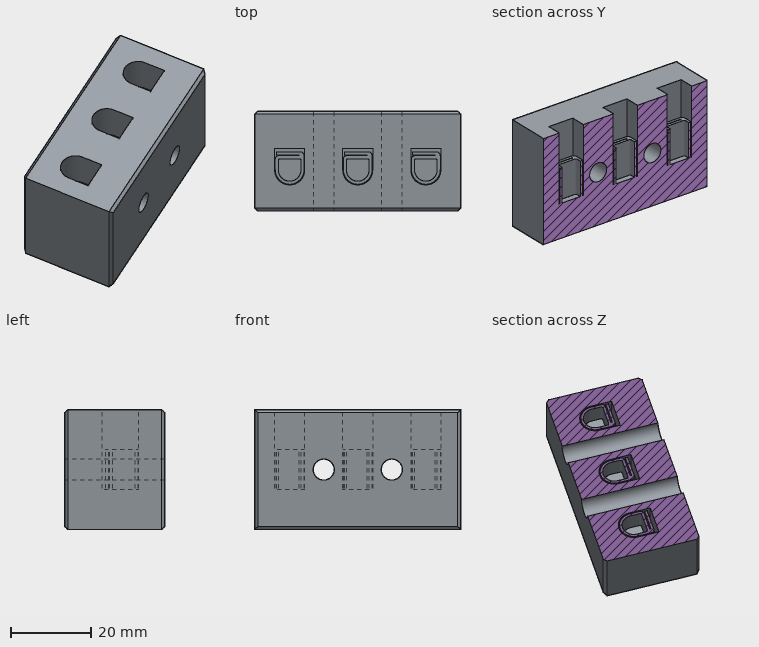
import cadquery as cq

LENGTH = 51.5
WIDTH = 25.0
HEIGHT = 30.0
EDGE_CHAMFER = 0.8

PITCH = 17.0
HOLE_DIAMETER = 5.2
HOLE_XS = (-PITCH / 2, PITCH / 2)

POCKET_XS = (-PITCH, 0.0, PITCH)
POCKET_RADIUS = 3.75
POCKET_ARC_Y = -2.2
POCKET_BACK_Y = 3.2
POCKET_DEPTH = 20.0
POCKET_FLOOR_Z = HEIGHT / 2 - POCKET_DEPTH

CAGE_HEIGHT = 10.0
CAGE_CLEARANCE = 0.15
STRIP_THICKNESS = 0.78
SLIT_WIDTH = 0.2
SLIT_END_INSET = 1.3
FLAP_END_INSET = 0.28
FLAP_CORNER_RADIUS = 1.0
WRAP_CORNER_RADIUS = 0.8
OPENING_CORNER_RADIUS = 0.4
CAGE_RADIUS = POCKET_RADIUS - CAGE_CLEARANCE
OPENING_RADIUS = CAGE_RADIUS - STRIP_THICKNESS
OPENING_BACK_Y = 0.57
WRAP_BACK_Y = OPENING_BACK_Y + STRIP_THICKNESS
SLIT_BACK_Y = WRAP_BACK_Y + SLIT_WIDTH
FLAP_BACK_Y = SLIT_BACK_Y + STRIP_THICKNESS


def d_prism(radius, back_y, height):
    """Prism on the pocket floor: flat at the back (+Y), half round at the front."""
    return (
        cq.Workplane("XY", origin=(0, 0, POCKET_FLOOR_Z))
        .moveTo(-radius, back_y)
        .lineTo(-radius, POCKET_ARC_Y)
        .threePointArc((0, POCKET_ARC_Y - radius), (radius, POCKET_ARC_Y))
        .lineTo(radius, back_y)
        .close()
        .extrude(height)
    )


def make_block():
    """Block with its front and back face outlines chamfered."""
    block = cq.Workplane("XY").box(LENGTH, WIDTH, HEIGHT)
    return block.faces("<Y or >Y").edges().chamfer(EDGE_CHAMFER)


def make_mounting_holes():
    points = [(x, 0) for x in HOLE_XS]
    centers = cq.Workplane("XZ").pushPoints(points)
    return centers.circle(HOLE_DIAMETER / 2).extrude(WIDTH, both=True)


def make_cage():
    """D-shaped strip loop whose end doubles back as a flap along the back."""
    loop_left = -CAGE_RADIUS
    flap_left = loop_left + FLAP_END_INSET
    slit_right = CAGE_RADIUS - SLIT_END_INSET
    cage = (
        cq.Workplane("XY", origin=(0, 0, POCKET_FLOOR_Z))
        .moveTo(flap_left, FLAP_BACK_Y)
        .lineTo(flap_left, SLIT_BACK_Y)
        .lineTo(slit_right, SLIT_BACK_Y)
        .lineTo(slit_right, WRAP_BACK_Y)
        .lineTo(loop_left, WRAP_BACK_Y)
        .lineTo(loop_left, POCKET_ARC_Y)
        .threePointArc((0, POCKET_ARC_Y - CAGE_RADIUS), (CAGE_RADIUS, POCKET_ARC_Y))
        .lineTo(CAGE_RADIUS, FLAP_BACK_Y)
        .close()
        .extrude(CAGE_HEIGHT)
    )
    middle_z = POCKET_FLOOR_Z + CAGE_HEIGHT / 2
    flap_corner = cq.NearestToPointSelector((CAGE_RADIUS, FLAP_BACK_Y, middle_z))
    wrap_corner = cq.NearestToPointSelector((loop_left, WRAP_BACK_Y, middle_z))
    cage = cage.edges("|Z").edges(flap_corner).fillet(FLAP_CORNER_RADIUS)
    cage = cage.edges("|Z").edges(wrap_corner).fillet(WRAP_CORNER_RADIUS)
    opening = d_prism(OPENING_RADIUS, OPENING_BACK_Y, CAGE_HEIGHT)
    opening = opening.faces(">Y").edges("|Z").fillet(OPENING_CORNER_RADIUS)
    return cage.cut(opening)


result = make_block().cut(make_mounting_holes())
pocket = d_prism(POCKET_RADIUS, POCKET_BACK_Y, POCKET_DEPTH)
cage_in_place = make_cage()
for pocket_x in POCKET_XS:
    result = result.cut(pocket.translate((pocket_x, 0, 0)))
    result = result.union(cage_in_place.translate((pocket_x, 0, 0)))